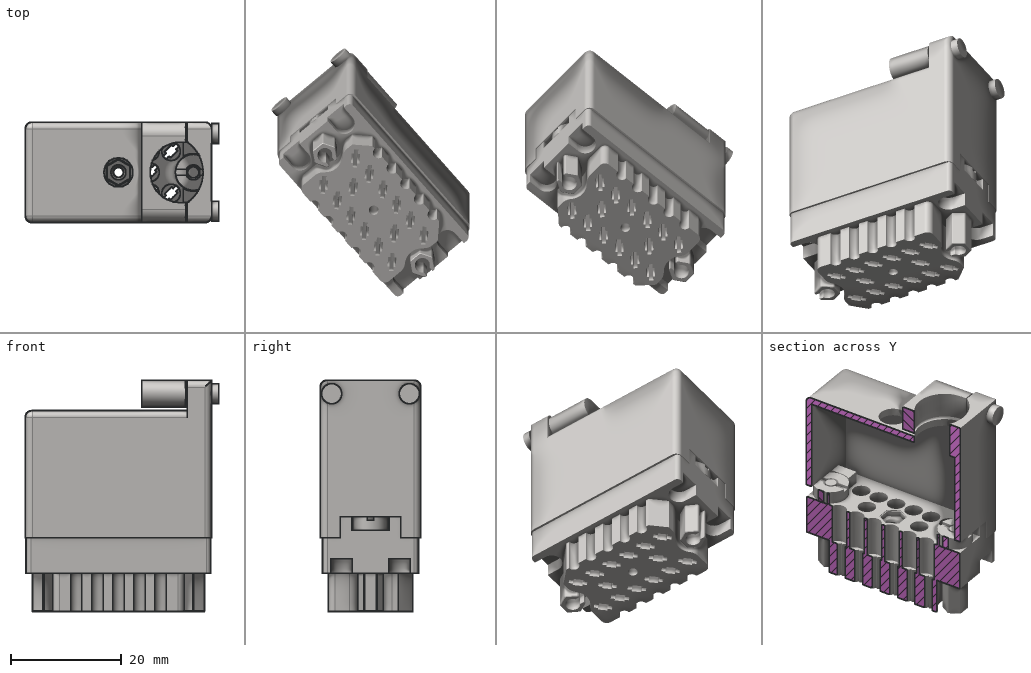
import math

import cadquery as cq


LENGTH = 33.6
WIDTH = 18.15
HEIGHT = 41.7
HOOD_BOTTOM = 13.25
HOOD_TOP = 36.25
HOOD_RADIUS = 1.25
WALL = 1.25
ROOF = 1.4
TOWER_THICKNESS = 4.42
ACCESS_DIAMETER = 5.2

BAR_HEIGHT = 4.9
BAR_LENGTH = 7.95
BAR_GAP = 0.25
CABLE_RADIUS = 5.45
CABLE_SETBACK = 1.15
CABLE_TOWER_DEPTH = 2.88
CLAMP_SCREW_SPACING = 14.0
CLAMP_HEAD_DIAMETER = 3.63
CLAMP_HEAD_HEIGHT = 1.3
CLAMP_SHANK_DIAMETER = 2.2
CLAMP_THREAD_LENGTH = 5.0

COLLAR_LENGTH = 33.33
COLLAR_WIDTH = 17.3
COLLAR_RADIUS = 0.85
COLLAR_BOTTOM = 6.9
INSERT_FLOOR = 14.65
TONGUE_TOP = 17.05
TONGUE_LENGTH = 5.0
TONGUE_WIDTH = 10.85
LATCH_WIDTH = 3.85
LATCH_HEIGHT = 2.63
LATCH_LENGTH = 4.25
LATCH_SPACING = 10.45

PITCH = 3.8
COLUMNS = 6
MIDDLE_CONTACT_X = 1.5 * PITCH
CONTACT_DIAMETER = 3.35
BLADE_WIDTH = 0.75
BLADE_CORE = (1.75, 1.5)
BLADE_ANGLE = 45.0
PLUG_LENGTH = 23.7
PLUG_WIDTH = 15.25
PLUG_CORNER_RADIUS = 1.15
PLUG_CHAMFER = 2.6
SCALLOP_DIAMETER = 2.05

CENTRE_HEX_FLATS = 4.0
CENTRE_HEX_DEPTH = 1.25
CENTRE_HEX_MOUTH_FLATS = 4.3
CENTRE_HEX_STEP = 0.15
CENTRE_HOLE_DIAMETER = 1.75

POST_X = 13.5
POST_HEAD_DIAMETER = 6.45
POST_POCKET_DIAMETER = 6.8
POST_SLOT_WIDTH = 1.13
POST_SLOT_DEPTH = 0.6
POST_FLATS = 4.1
POST_EDGE = 0.13
POST_BORE_DIAMETER = 2.7
POST_SIDE_SLOT = 1.4
POST_STUD_DIAMETER = 2.0
POST_GROOVE_DEPTH = 1.25

half_length = LENGTH / 2
tower_x = half_length - TOWER_THICKNESS
bar_right = tower_x - BAR_GAP
bar_left = bar_right - BAR_LENGTH
clamp_z = HEIGHT - BAR_HEIGHT / 2
cable_centre_x = tower_x - CABLE_SETBACK
tongue_inner_x = COLLAR_LENGTH / 2 - TONGUE_LENGTH


def block(x_min, x_max, width, z_min, z_max):
    """Box between two X and two Z limits, centred on Y."""
    size_x = x_max - x_min
    return (
        cq.Workplane("XY", origin=((x_min + x_max) / 2, 0, z_min))
        .box(size_x, width, z_max - z_min, centered=(True, True, False))
    )


def cylinder(x, y, z_min, z_max, diameter):
    """Upright cylinder."""
    return cq.Workplane("XY", origin=(x, y, z_min)).circle(diameter / 2).extrude(z_max - z_min)


def hexagon(x, z_min, z_max, flats):
    """Upright hexagonal prism with a pair of flats facing +X and -X."""
    return (
        cq.Workplane("XY", origin=(x, 0, z_min))
        .transformed(rotate=(0, 0, 90))
        .polygon(6, flats / math.cos(math.pi / 6))
        .extrude(z_max - z_min)
    )


def clamp_rod(x_min, x_max, diameter, y):
    """Cylinder along X at the height of the clamp screws."""
    return cq.Workplane("YZ", origin=(x_min, y, clamp_z)).circle(diameter / 2).extrude(x_max - x_min)


def cable_opening(z_min, z_max):
    """Upright passage for the cable: a half round in the bar and a flatter arc in the tower."""
    return (
        cq.Workplane("XY", origin=(0, 0, z_min))
        .moveTo(tower_x, CABLE_RADIUS)
        .threePointArc((tower_x + CABLE_TOWER_DEPTH, 0), (tower_x, -CABLE_RADIUS))
        .lineTo(cable_centre_x, -CABLE_RADIUS)
        .threePointArc((cable_centre_x - CABLE_RADIUS, 0), (cable_centre_x, CABLE_RADIUS))
        .close()
        .extrude(z_max - z_min)
    )


def contact_points():
    """Two outer rows of contacts, and two contacts in the middle row."""
    columns = [(i - (COLUMNS - 1) / 2) * PITCH for i in range(COLUMNS)]
    outer = [(x, side * PITCH) for x in columns for side in (-1, 1)]
    middle = [(side * MIDDLE_CONTACT_X, 0) for side in (-1, 1)]
    return outer + middle


clamp_screw_ys = [side * CLAMP_SCREW_SPACING / 2 for side in (-1, 1)]


def make_hood():
    shell = (
        block(-half_length, tower_x, WIDTH, HOOD_BOTTOM, HOOD_TOP)
        .edges("(|Z and <X) or (>Z and |X) or (>Z and <X)")
        .fillet(HOOD_RADIUS)
    )
    tower = (
        block(tower_x, half_length, WIDTH, HOOD_BOTTOM, HEIGHT)
        .edges("(|Z and >X) or (>Z and |X)")
        .fillet(HOOD_RADIUS)
    )
    hood = shell.union(tower)

    cavity_x = half_length - WALL
    cavity_top = HOOD_TOP - ROOF
    hood = hood.cut(block(-cavity_x, cavity_x, WIDTH - 2 * WALL, HOOD_BOTTOM, cavity_top))
    hood = hood.cut(block(-half_length, half_length, TONGUE_WIDTH, HOOD_BOTTOM, TONGUE_TOP))
    hood = hood.cut(cylinder(0, 0, cavity_top, HOOD_TOP, ACCESS_DIAMETER))
    hood = hood.cut(cable_opening(cavity_top, HEIGHT))
    for y in clamp_screw_ys:
        hood = hood.cut(clamp_rod(tower_x, half_length, CLAMP_SHANK_DIAMETER, y))
    return hood


def make_clamp_bar():
    bar = (
        cq.Workplane("YZ", origin=(bar_left, 0, clamp_z))
        .slot2D(WIDTH, BAR_HEIGHT)
        .extrude(BAR_LENGTH)
        .cut(cable_opening(HEIGHT - BAR_HEIGHT, HEIGHT))
    )
    for y in clamp_screw_ys:
        bar = bar.cut(clamp_rod(bar_right - CLAMP_THREAD_LENGTH, bar_right, CLAMP_SHANK_DIAMETER, y))
    return bar


def make_clamp_screw(y):
    shank = clamp_rod(bar_right - CLAMP_THREAD_LENGTH, half_length, CLAMP_SHANK_DIAMETER, y)
    head = clamp_rod(half_length, half_length + CLAMP_HEAD_HEIGHT, CLAMP_HEAD_DIAMETER, y)
    return shank.union(head)


def make_plug_body():
    """Scalloped lower block whose ends curve round the corner contacts and the guide posts."""
    end_x = PLUG_LENGTH / 2
    side_y = PLUG_WIDTH / 2
    contact_x = (COLUMNS - 1) / 2 * PITCH
    convex_radius = end_x - contact_x
    post_angle = math.atan2(PITCH, POST_X - contact_x)
    concave_radius = math.hypot(PITCH, POST_X - contact_x) - convex_radius
    tangent_x = contact_x + convex_radius * math.cos(post_angle)
    tangent_y = PITCH - convex_radius * math.sin(post_angle)
    convex_mid_x = contact_x + convex_radius * math.cos(post_angle / 2)
    convex_mid_y = PITCH - convex_radius * math.sin(post_angle / 2)

    body = (
        cq.Workplane("XY")
        .rect(PLUG_LENGTH, PLUG_WIDTH)
        .extrude(COLLAR_BOTTOM)
        .edges("|Z and <Y")
        .fillet(PLUG_CORNER_RADIUS)
        .edges("|Z and >Y")
        .chamfer(PLUG_CHAMFER)
    )
    for end in (-1, 1):
        recess = (
            cq.Workplane("XY")
            .moveTo(end * end_x, PITCH)
            .threePointArc((end * convex_mid_x, convex_mid_y), (end * tangent_x, tangent_y))
            .threePointArc((end * (POST_X - concave_radius), 0), (end * tangent_x, -tangent_y))
            .threePointArc((end * convex_mid_x, -convex_mid_y), (end * end_x, -PITCH))
            .close()
            .extrude(COLLAR_BOTTOM)
        )
        body = body.cut(recess)
    for i in range(COLUMNS - 1):
        x = (i - (COLUMNS - 2) / 2) * PITCH
        for side in (-1, 1):
            body = body.cut(cylinder(x, side * side_y, 0, COLLAR_BOTTOM, SCALLOP_DIAMETER))
    return body


def make_tongue(end):
    """Raised end block with a pocket that opens outwards round the head of the guide post."""
    x_limits = sorted((end * tongue_inner_x, end * COLLAR_LENGTH / 2))
    pocket_limits = sorted((end * POST_X, end * COLLAR_LENGTH / 2))
    return (
        block(*x_limits, TONGUE_WIDTH, HOOD_BOTTOM, TONGUE_TOP)
        .cut(block(*pocket_limits, POST_POCKET_DIAMETER, INSERT_FLOOR, TONGUE_TOP))
        .cut(cylinder(end * POST_X, 0, INSERT_FLOOR, TONGUE_TOP, POST_POCKET_DIAMETER))
    )


def make_latch_recess(end, y):
    """Round-ended recess in the underside of the collar, open at the end face."""
    return (
        cq.Workplane("XY", origin=(end * COLLAR_LENGTH / 2, y, COLLAR_BOTTOM))
        .slot2D(2 * LATCH_LENGTH, LATCH_WIDTH)
        .extrude(LATCH_HEIGHT)
    )


def make_contact_cavities():
    """Round sockets that continue to the plug tip as blade-shaped slots."""
    points = contact_points()
    sockets = (
        cq.Workplane("XY", origin=(0, 0, COLLAR_BOTTOM))
        .pushPoints(points)
        .circle(CONTACT_DIAMETER / 2)
        .extrude(INSERT_FLOOR - COLLAR_BOTTOM)
    )
    blade = (
        cq.Workplane("XY")
        .rect(CONTACT_DIAMETER, BLADE_WIDTH)
        .extrude(COLLAR_BOTTOM)
        .union(cq.Workplane("XY").rect(*BLADE_CORE).extrude(COLLAR_BOTTOM))
        .rotate((0, 0, 0), (0, 0, 1), BLADE_ANGLE)
    )
    cavities = sockets
    for x, y in points:
        cavities = cavities.union(blade.translate((x, y, 0)))
    return cavities


def make_centre_hole():
    """Hexagonal pocket with a stepped mouth, then a cone that narrows to a round hole through the plug."""
    hex_bottom = INSERT_FLOOR - CENTRE_HEX_DEPTH
    pocket = hexagon(0, hex_bottom, INSERT_FLOOR, CENTRE_HEX_FLATS)
    mouth = hexagon(0, INSERT_FLOOR - CENTRE_HEX_STEP, INSERT_FLOOR, CENTRE_HEX_MOUTH_FLATS)
    cone_depth = (POST_BORE_DIAMETER - CENTRE_HOLE_DIAMETER) / 2
    cone = (
        cq.Workplane("XY", origin=(0, 0, hex_bottom))
        .circle(POST_BORE_DIAMETER / 2)
        .workplane(offset=-cone_depth)
        .circle(CENTRE_HOLE_DIAMETER / 2)
        .loft()
    )
    return pocket.union(mouth).union(cone).union(cylinder(0, 0, 0, hex_bottom, CENTRE_HOLE_DIAMETER))


def make_insert():
    cavity_length = LENGTH - 2 * WALL
    insert = (
        block(-COLLAR_LENGTH / 2, COLLAR_LENGTH / 2, COLLAR_WIDTH, COLLAR_BOTTOM, HOOD_BOTTOM)
        .edges("|Z")
        .fillet(COLLAR_RADIUS)
        .union(block(-cavity_length / 2, cavity_length / 2, WIDTH - 2 * WALL, HOOD_BOTTOM, INSERT_FLOOR))
        .union(make_plug_body())
        .cut(make_contact_cavities())
        .cut(make_centre_hole())
    )
    for end in (-1, 1):
        insert = insert.union(make_tongue(end))
        insert = insert.cut(make_post_prism(end * POST_X, COLLAR_BOTTOM))
        for side in (-1, 1):
            insert = insert.cut(make_latch_recess(end, side * LATCH_SPACING / 2))
    return insert


def make_post_prism(x, z_min):
    """Hexagonal stem of a guide post, up to the underside of its head."""
    return hexagon(x, z_min, INSERT_FLOOR, POST_FLATS).edges("|Z").chamfer(POST_EDGE)


def make_guide_post(x):
    stem = make_post_prism(x, 0).faces("<Z").chamfer(POST_EDGE)
    head = cylinder(x, 0, INSERT_FLOOR, TONGUE_TOP, POST_HEAD_DIAMETER)
    slot = block(
        x - POST_HEAD_DIAMETER / 2,
        x + POST_HEAD_DIAMETER / 2,
        POST_SLOT_WIDTH,
        TONGUE_TOP - POST_SLOT_DEPTH,
        TONGUE_TOP,
    )
    groove = (
        cq.Workplane("XY", origin=(x, 0, TONGUE_TOP))
        .circle(POST_BORE_DIAMETER / 2)
        .workplane(offset=-POST_GROOVE_DEPTH)
        .circle(POST_STUD_DIAMETER / 2)
        .loft()
    )
    stud = cylinder(x, 0, TONGUE_TOP - POST_GROOVE_DEPTH, TONGUE_TOP, POST_STUD_DIAMETER)
    bore = cylinder(x, 0, 0, COLLAR_BOTTOM, POST_BORE_DIAMETER)
    side_slot = block(x - POST_FLATS / 2, x, POST_SIDE_SLOT, 0, COLLAR_BOTTOM)
    return stem.union(head).cut(slot).cut(groove).union(stud).cut(bore).cut(side_slot)


hood = make_hood()
clamp_bar = make_clamp_bar()
clamp_screws = [make_clamp_screw(y) for y in clamp_screw_ys]
insert = make_insert()
guide_posts = [make_guide_post(end * POST_X) for end in (-1, 1)]

result = cq.Compound.makeCompound([
    hood.val(),
    clamp_bar.val(),
    *[screw.val() for screw in clamp_screws],
    insert.val(),
    *[post.val() for post in guide_posts],
])